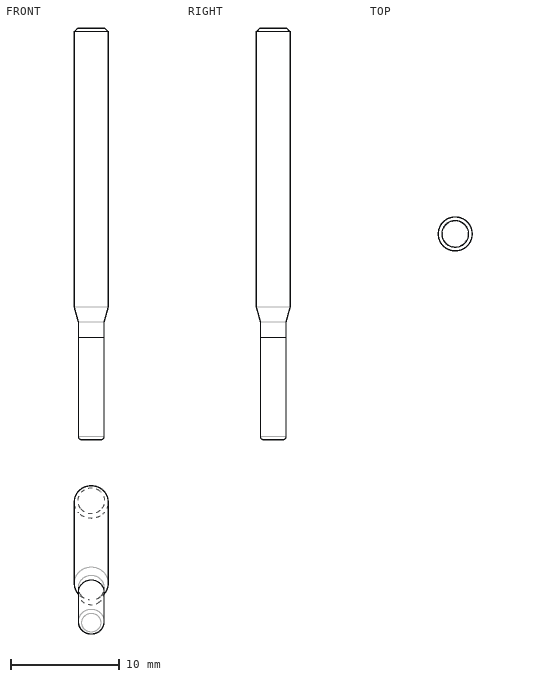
import cadquery as cq

total_length = 38.1
shank_diameter = 3.15
neck_diameter = 2.4

head_length = 9.45
neck_top = 10.9
taper_top = 12.25

shank_chamfer = 0.35
tip_corner_radius = 0.3

shank_radius = shank_diameter / 2
neck_radius = neck_diameter / 2


def make_shank():
    """Revolved shank: straight neck, conical taper and chamfered cylindrical body."""
    profile = (
        cq.Workplane("XZ")
        .moveTo(0, head_length)
        .lineTo(neck_radius, head_length)
        .lineTo(neck_radius, neck_top)
        .lineTo(shank_radius, taper_top)
        .lineTo(shank_radius, total_length - shank_chamfer)
        .lineTo(shank_radius - shank_chamfer, total_length)
        .lineTo(0, total_length)
        .close()
    )
    return profile.revolve(360, (0, 0, 0), (0, 1, 0))


def make_cutting_head():
    """Cylindrical head with a rounded lower rim, butted against the neck."""
    head = cq.Workplane("XY").circle(neck_radius).extrude(head_length)
    return head.faces("<Z").edges().fillet(tip_corner_radius)


shank = make_shank()
cutting_head = make_cutting_head()

result = cq.Compound.makeCompound([shank.val(), cutting_head.val()])